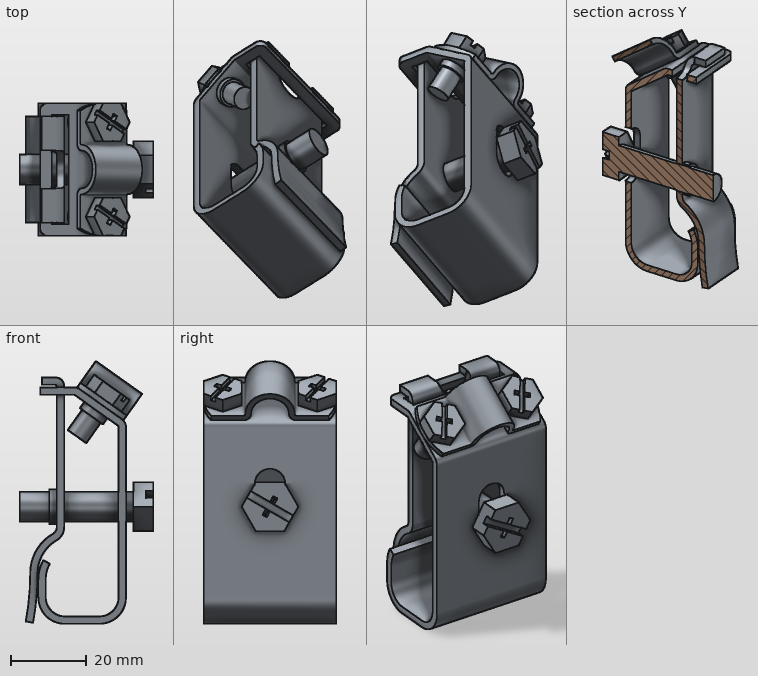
import cadquery as cq
import math


sheet = 2.0
tight_bend = 0.4

bracket_width = 35.0
plate_front_x = -22.7
plate_underside_z = 29.5
plate_corner_radius = 2.0
slope_start_x = -13.6
slope_angle = 35.4
floor_underside_z = -30.9
floor_bend = 5.0
lip_outer_x = -23.2
lip_bend_start_z = -19.1
lip_bend = 8.0
lip_bend_angle = 30
hook_slot_left_x = -19.6
hook_slot_length = 4.5
hook_slot_width = 29.0
wall_slot_width = 8.05
wall_slot_height = 15.95
wall_slot_bottom_z = -5.95

strap_width = 28.0
strap_front_x = -18.3
hook_tip_x = -22.2
hook_top_z = 34.1
hook_gap_width = 10.1
bend_notch_radius = 5.0
bend_notch_centre_z = 34.4
shoulder_z = -5.4
shoulder_bend = sheet
shoulder_angle = 60
belly_bend = 10.0
tail_bend = 70.0
tail_angle = 10.5

saddle_length = 15.0
saddle_sheet = 1.5
saddle_end_half_width = 15.55
arch_outer_radius = 6.5
arch_foot_radius = 0.5
saddle_shift = -0.2

cross_shank_diameter = 8.0
cross_shank_length = 30.0
cross_head_flats = 13.0
cross_head_height = 5.3
cross_head_x = 1.95
cross_slot = 2.1
cross_collar_diameter = 9.3

clamp_shank_diameter = 6.0
clamp_shank_length = 12.15
clamp_head_flats = 10.0
clamp_head_height = 3.8
clamp_slot = 1.4
clamp_collar_diameter = 7.5
clamp_bolt_offset = 12.5

collar_height = sheet
recess_span_ratio = 0.44
recess_width = 1.25
recess_taper = 15
hex_half_sector = 30

slope_radians = math.radians(slope_angle)
wall_inner_x = -sheet
slope_run = wall_inner_x - slope_start_x
slope_drop = slope_run * math.tan(slope_radians)
down_slope = cq.Vector(math.cos(slope_radians), 0, -math.sin(slope_radians))
off_slope = cq.Vector(math.sin(slope_radians), 0, math.cos(slope_radians))
slope_middle = cq.Vector(slope_start_x + slope_run / 2, 0, plate_underside_z - slope_drop / 2)
saddle_seat = slope_middle + off_slope * sheet + down_slope * saddle_shift
seat_plane = cq.Plane(origin=saddle_seat, xDir=down_slope, normal=off_slope)
clamp_points = [(0, -clamp_bolt_offset), (0, clamp_bolt_offset)]


def tangent_length(angle, radius):
    """Distance from the sharp corner to where a bend of this radius begins."""
    return radius * math.tan(math.radians(angle) / 2)


def bent_sheet(start_x, start_z, pieces, width):
    """Strip of sheet that sets out along +X; start is a point on its right-hand face.

    Each piece is (length, 0, 0) for a flat or (0, angle, inside radius) for a bend,
    with a positive angle turning to the right.
    """
    heading = 0.0
    right = cq.Vector(start_x, start_z, 0)

    def leftward(angle):
        return cq.Vector(-math.sin(angle), math.cos(angle), 0)

    right_points = [right]
    left_points = [right + leftward(heading) * sheet]
    right_mids = []
    left_mids = []
    for length, angle, inside in pieces:
        if angle == 0:
            right = right + cq.Vector(math.cos(heading), math.sin(heading), 0) * length
            right_mids.append(None)
            left_mids.append(None)
        else:
            reach = -inside if angle > 0 else inside + sheet
            centre = right + leftward(heading) * reach
            halfway = heading - math.radians(angle) / 2
            heading = heading - math.radians(angle)
            right_mids.append(centre - leftward(halfway) * reach)
            left_mids.append(centre - leftward(halfway) * (reach - sheet))
            right = centre - leftward(heading) * reach
        right_points.append(right)
        left_points.append(right + leftward(heading) * sheet)

    def add_side(outline, points, mids):
        for point, mid in zip(points, mids):
            if mid is None:
                outline = outline.lineTo(point.x, point.y)
            else:
                outline = outline.threePointArc((mid.x, mid.y), (point.x, point.y))
        return outline

    outline = cq.Workplane("XZ").moveTo(start_x, start_z)
    outline = add_side(outline, right_points[1:], right_mids)
    outline = outline.lineTo(left_points[-1].x, left_points[-1].y)
    outline = add_side(outline, left_points[-2::-1], left_mids[::-1])
    return outline.close().extrude(width / 2, both=True)


def make_bracket():
    rear_angle = 90 - slope_angle
    top_cut = tangent_length(slope_angle, tight_bend)
    rear_cut = tangent_length(rear_angle, tight_bend)
    floor_top_z = floor_underside_z + sheet
    lip_inner_x = lip_outer_x + sheet
    wall_top_z = plate_underside_z - slope_drop
    pieces = [
        (slope_start_x - plate_front_x - top_cut, 0, 0),
        (0, slope_angle, tight_bend),
        (math.hypot(slope_run, slope_drop) - top_cut - rear_cut, 0, 0),
        (0, rear_angle, tight_bend),
        (wall_top_z - rear_cut - floor_top_z - floor_bend, 0, 0),
        (0, 90, floor_bend),
        (wall_inner_x - lip_inner_x - 2 * floor_bend, 0, 0),
        (0, 90, floor_bend),
        (lip_bend_start_z - floor_top_z - floor_bend, 0, 0),
        (0, lip_bend_angle, lip_bend),
    ]
    body = bent_sheet(plate_front_x, plate_underside_z, pieces, bracket_width)

    front_edge = (plate_front_x, 0, plate_underside_z + sheet / 2)
    body = body.faces(cq.selectors.NearestToPointSelector(front_edge))
    body = body.edges("|Z").fillet(plate_corner_radius)

    hook_slot = (
        cq.Workplane("XY", origin=(hook_slot_left_x + hook_slot_length / 2, 0, plate_underside_z))
        .rect(hook_slot_length, hook_slot_width)
        .extrude(sheet)
    )

    wall_slot = (
        cq.Workplane("YZ", origin=(wall_inner_x, 0, wall_slot_bottom_z + wall_slot_height / 2))
        .slot2D(wall_slot_height, wall_slot_width, 90)
        .extrude(sheet)
    )

    collars = (
        cq.Workplane(seat_plane)
        .workplane(offset=-sheet)
        .pushPoints(clamp_points)
        .circle(clamp_collar_diameter / 2)
        .extrude(-collar_height)
    )
    bolt_holes = (
        cq.Workplane(seat_plane)
        .pushPoints(clamp_points)
        .circle(clamp_shank_diameter / 2)
        .extrude(-sheet - collar_height)
    )
    return body.cut(hook_slot).cut(wall_slot).union(collars).cut(bolt_holes)


def make_strap():
    strap_back_x = strap_front_x + sheet
    hook_under_z = hook_top_z - sheet
    flat_length = strap_front_x - tight_bend - hook_tip_x
    pieces = [
        (flat_length, 0, 0),
        (0, 90, tight_bend),
        (hook_under_z - tight_bend - shoulder_z, 0, 0),
        (0, shoulder_angle, shoulder_bend),
        (0, -shoulder_angle, belly_bend),
        (0, tail_angle, tail_bend),
    ]
    body = bent_sheet(hook_tip_x, hook_under_z, pieces, strap_width)

    hook_gap = (
        cq.Workplane("XY", origin=(hook_tip_x + flat_length / 2, 0, hook_under_z))
        .rect(flat_length, hook_gap_width)
        .extrude(sheet)
    )
    bend_notch = (
        cq.Workplane("YZ", origin=(hook_tip_x, 0, bend_notch_centre_z))
        .circle(bend_notch_radius)
        .extrude(strap_back_x - hook_tip_x)
    )

    collar = (
        cq.Workplane("YZ", origin=(strap_front_x, 0, 0))
        .circle(cross_collar_diameter / 2)
        .extrude(-collar_height)
    )
    bolt_hole = (
        cq.Workplane("YZ", origin=(strap_front_x - collar_height, 0, 0))
        .circle(cross_shank_diameter / 2)
        .extrude(collar_height + sheet)
    )
    return body.cut(hook_gap).cut(bend_notch).union(collar).cut(bolt_hole)


def make_saddle():
    half_width = bracket_width / 2
    foot_y = arch_outer_radius + arch_foot_radius
    arch_centre = saddle_sheet + arch_foot_radius
    arch_inner_radius = arch_outer_radius - saddle_sheet
    inner_foot_radius = arch_foot_radius + saddle_sheet
    diagonal = math.sqrt(0.5)

    def foot_middle(side, radius):
        return side * (foot_y - radius * diagonal), arch_centre - radius * diagonal

    section_plane = cq.Plane(
        origin=saddle_seat - down_slope * (saddle_length / 2), xDir=(0, 1, 0), normal=down_slope
    )
    arched = (
        cq.Workplane(section_plane)
        .moveTo(-half_width, 0)
        .lineTo(-foot_y, 0)
        .threePointArc(foot_middle(-1, inner_foot_radius), (-arch_inner_radius, arch_centre))
        .threePointArc((0, arch_centre + arch_inner_radius), (arch_inner_radius, arch_centre))
        .threePointArc(foot_middle(1, inner_foot_radius), (foot_y, 0))
        .lineTo(half_width, 0)
        .lineTo(half_width, saddle_sheet)
        .lineTo(foot_y, saddle_sheet)
        .threePointArc(foot_middle(1, arch_foot_radius), (arch_outer_radius, arch_centre))
        .threePointArc((0, arch_centre + arch_outer_radius), (-arch_outer_radius, arch_centre))
        .threePointArc(foot_middle(-1, arch_foot_radius), (-foot_y, saddle_sheet))
        .lineTo(-half_width, saddle_sheet)
        .close()
        .extrude(saddle_length)
    )
    half_length = saddle_length / 2
    blank = (
        cq.Workplane(seat_plane)
        .moveTo(-half_length, -saddle_end_half_width)
        .threePointArc((0, -half_width), (half_length, -saddle_end_half_width))
        .lineTo(half_length, saddle_end_half_width)
        .threePointArc((0, half_width), (-half_length, saddle_end_half_width))
        .close()
        .extrude(arch_centre + arch_outer_radius)
    )
    bolt_holes = (
        cq.Workplane(seat_plane)
        .pushPoints(clamp_points)
        .circle(clamp_shank_diameter / 2)
        .extrude(saddle_sheet)
    )
    return arched.intersect(blank).cut(bolt_holes)


def make_bolt(plane, shank_diameter, shank_length, head_flats, head_height, slot_size):
    """Hexagon bolt; the plane lies under its head and faces the head's top."""
    across_corners = head_flats / math.cos(math.radians(hex_half_sector))
    head = cq.Workplane(plane).polygon(6, across_corners).extrude(head_height)
    shank = cq.Workplane(plane).circle(shank_diameter / 2).extrude(-shank_length)

    head_top = cq.Workplane(plane).workplane(offset=head_height)
    slot = (
        head_top.transformed(rotate=(0, 0, -hex_half_sector))
        .rect(across_corners, slot_size)
        .extrude(-slot_size)
    )
    recess = (
        head_top.transformed(rotate=(0, 0, -hex_half_sector))
        .rect(recess_width, recess_span_ratio * head_flats)
        .extrude(-slot_size, taper=recess_taper)
    )
    return head.union(shank).cut(slot).cut(recess)


def make_cross_bolt():
    plane = cq.Plane(origin=(cross_head_x, 0, 0), xDir=(0, 1, 0), normal=(1, 0, 0))
    return make_bolt(
        plane, cross_shank_diameter, cross_shank_length,
        cross_head_flats, cross_head_height, cross_slot,
    )


def make_clamp_bolt(offset):
    plane = cq.Plane(
        origin=saddle_seat + off_slope * saddle_sheet + cq.Vector(0, offset, 0),
        xDir=down_slope,
        normal=off_slope,
    )
    return make_bolt(
        plane, clamp_shank_diameter, clamp_shank_length,
        clamp_head_flats, clamp_head_height, clamp_slot,
    )


bracket = make_bracket()
strap = make_strap()
saddle = make_saddle()
cross_bolt = make_cross_bolt()
clamp_bolts = [make_clamp_bolt(side * clamp_bolt_offset) for side in (-1, 1)]

result = cq.Compound.makeCompound(
    [bracket.val(), strap.val(), saddle.val(), cross_bolt.val()]
    + [bolt.val() for bolt in clamp_bolts]
)